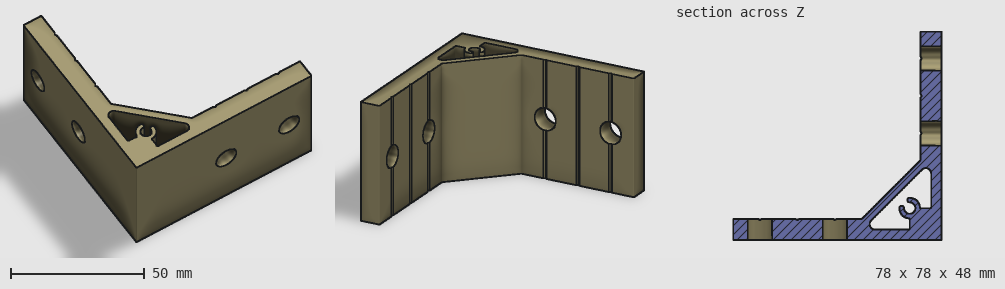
import cadquery as cq
import math

LEG_LENGTH = 78.0
LEG_THICKNESS = 8.0
HEIGHT = 48.0

BRACE_REACH = 29.9
BRACE_THICKNESS = 2.93
BRACE_FILLET = 0.5

CAVITY_WALL = 4.0
CAVITY_DIAGONAL = BRACE_REACH + LEG_THICKNESS - BRACE_THICKNESS * math.sqrt(2)
CAVITY_REACH = CAVITY_DIAGONAL - CAVITY_WALL
CAVITY_TIP_RADIUS = 2.0

BLOCK_SIZE = 12.0
CHANNEL_RADIUS = 2.1
CLAW_RADIUS = 3.9
CLAW_MID_RADIUS = (CHANNEL_RADIUS + CLAW_RADIUS) / 2
CLAW_TIP_RADIUS = (CLAW_RADIUS - CHANNEL_RADIUS) / 2
BLOCK_FILLET = 0.3

EDGE_FILLET = 0.3

HOLE_DIAMETER = 9.0
HOLE_OFFSETS = (40.0, 68.0)
GROOVE_OFFSETS = (HOLE_OFFSETS[0], sum(HOLE_OFFSETS) / 2, HOLE_OFFSETS[1])
GROOVE_WIDTH = 1.5
GROOVE_SLOPE = 30.0
GROOVE_DEPTH = GROOVE_WIDTH / 2 * math.tan(math.radians(GROOVE_SLOPE))

PICK_SIZE = 0.2


def prism(points):
    """Full-height prism from (distance along -X, distance along +Y) corners."""
    return cq.Workplane("XY").polyline([(-u, v) for u, v in points]).close().extrude(HEIGHT)


def cylinder(u, v, radius):
    """Full-height cylinder about a vertical axis."""
    return cq.Workplane("XY").center(-u, v).circle(radius).extrude(HEIGHT)


def fillet_vertical(body, places, radius):
    """Round the vertical edges that stand at the given places."""
    for u, v in places:
        picker = cq.selectors.BoxSelector(
            (-u - PICK_SIZE, v - PICK_SIZE, 0),
            (-u + PICK_SIZE, v + PICK_SIZE, HEIGHT),
        )
        body = body.edges("|Z").edges(picker).fillet(radius)
    return body


def mirrored(u, v):
    """A place and its twin on the other leg."""
    return [(u, v), (v, u)]


def make_body():
    body = prism([
        (0, 0),
        (LEG_LENGTH, 0),
        (LEG_LENGTH, LEG_THICKNESS),
        (BRACE_REACH, LEG_THICKNESS),
        (LEG_THICKNESS, BRACE_REACH),
        (LEG_THICKNESS, LEG_LENGTH),
        (0, LEG_LENGTH),
    ])
    leg_corners = [(0, 0)] + mirrored(LEG_LENGTH, 0) + mirrored(LEG_LENGTH, LEG_THICKNESS)
    body = fillet_vertical(body, leg_corners, EDGE_FILLET)
    return fillet_vertical(body, mirrored(BRACE_REACH, LEG_THICKNESS), BRACE_FILLET)


def make_screw_boss():
    """Corner block whose inner corner carries a C-shaped claw around a channel."""
    block = prism([(0, 0), (BLOCK_SIZE, 0), (BLOCK_SIZE, BLOCK_SIZE), (0, BLOCK_SIZE)])
    far = BLOCK_SIZE + CLAW_RADIUS
    opening = prism([(BLOCK_SIZE, BLOCK_SIZE), (far, BLOCK_SIZE), (far, far), (BLOCK_SIZE, far)])
    claw = cylinder(BLOCK_SIZE, BLOCK_SIZE, CLAW_RADIUS).cut(opening)
    boss = block.union(claw).cut(cylinder(BLOCK_SIZE, BLOCK_SIZE, CHANNEL_RADIUS))
    for u, v in mirrored(BLOCK_SIZE + CLAW_MID_RADIUS, BLOCK_SIZE):
        boss = boss.union(cylinder(u, v, CLAW_TIP_RADIUS))
    return boss


def make_cavity():
    """Triangular void behind the brace, left open around the screw boss."""
    cavity = prism([
        (CAVITY_WALL, CAVITY_WALL),
        (CAVITY_REACH, CAVITY_WALL),
        (CAVITY_WALL, CAVITY_REACH),
    ])
    cavity = fillet_vertical(cavity, mirrored(CAVITY_REACH, CAVITY_WALL), CAVITY_TIP_RADIUS)
    cavity = cavity.cut(make_screw_boss())
    block_corners = mirrored(BLOCK_SIZE, CAVITY_WALL) + mirrored(BLOCK_SIZE, BLOCK_SIZE - CLAW_RADIUS)
    return fillet_vertical(cavity, block_corners, BLOCK_FILLET)


def make_grooves():
    """V grooves on the inner faces of both legs."""
    grooves = cq.Workplane("XY")
    for offset in GROOVE_OFFSETS:
        section = [
            (offset - GROOVE_WIDTH / 2, LEG_THICKNESS),
            (offset, LEG_THICKNESS - GROOVE_DEPTH),
            (offset + GROOVE_WIDTH / 2, LEG_THICKNESS),
        ]
        grooves = grooves.add(prism(section))
        grooves = grooves.add(prism([(v, u) for u, v in section]))
    return grooves.combine()


def make_holes():
    """Through holes at mid-height in both legs."""
    radius = HOLE_DIAMETER / 2
    middle = HEIGHT / 2
    holes = cq.Workplane("XY")
    for offset in HOLE_OFFSETS:
        axes = (
            (cq.Vector(-offset, 0, middle), cq.Vector(0, 1, 0)),
            (cq.Vector(0, offset, middle), cq.Vector(-1, 0, 0)),
        )
        for start, direction in axes:
            holes = holes.add(cq.Solid.makeCylinder(radius, LEG_THICKNESS, start, direction))
    return holes.combine()


result = make_body().cut(make_cavity()).cut(make_grooves()).cut(make_holes())